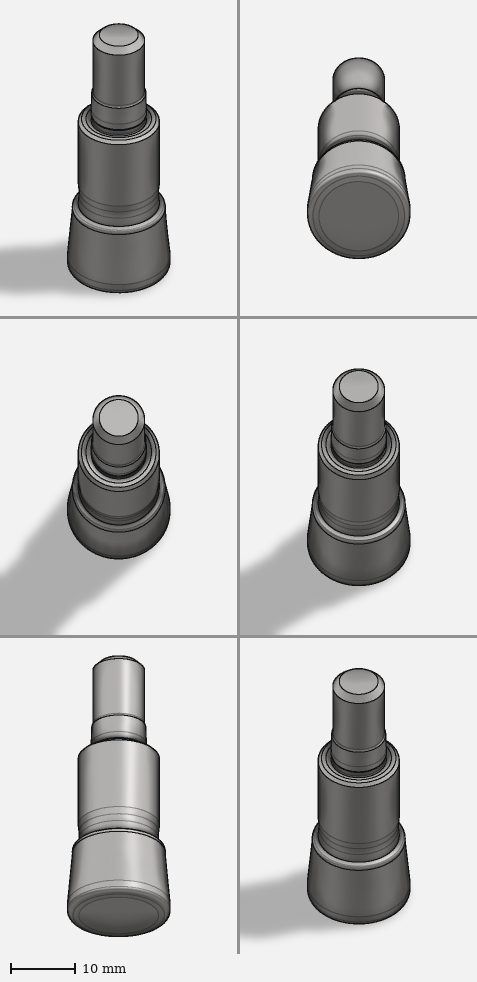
import cadquery as cq

BASE_ROUND_TOP = 0.95
BAND_TOP = 2.05
CAP_ROUND_START = 11.05
CAP_TOP = 11.95
NECK_BOTTOM = 13.45
NECK_TOP = 14.65
BODY_BOTTOM = 15.85
ROOT_FILLET_BOTTOM = 27.75
SHOULDER = 28.05
COLLAR_BOTTOM = 29.0
COLLAR_BAND_TOP = 30.05
COLLAR_TOP = 33.0
TOTAL_HEIGHT = 44.0

BASE_FLAT_RADIUS = 6.2
BASE_RADIUS = 8.0
CAP_TOP_RADIUS = 7.2
BODY_RADIUS = 6.35
NECK_RADIUS = 6.15
NECK_EDGE_RADIUS = 6.2
DISH_RADIUS = 5.1
COLLAR_RADIUS = 4.3
COLLAR_TOP_RADIUS = 4.22
GROOVE_RADIUS = 4.15
STEM_RADIUS = 4.05

BASE_ROUND = 0.9
CAP_ROUND = 0.55
CAP_ROUND_DROP = 0.25
CAP_ROUND_INSET = 0.2
BODY_CHAMFER_WIDTH = 0.55
BODY_CHAMFER_HEIGHT = 0.5
ROOT_FILLET = 0.18
GROOVE_CHAMFER = 0.3
COLLAR_FILLET = 0.5
COLLAR_FILLET_HEIGHT = 0.4
TIP_CHAMFER = 1.0

profile = (
    cq.Workplane("XZ")
    .lineTo(BASE_FLAT_RADIUS, 0)
    .lineTo(BASE_RADIUS - BASE_ROUND, BASE_ROUND_TOP - BASE_ROUND)
    .radiusArc((BASE_RADIUS, BASE_ROUND_TOP), -BASE_ROUND)
    .lineTo(BASE_RADIUS, BAND_TOP)
    .lineTo(CAP_TOP_RADIUS, CAP_ROUND_START)
    .radiusArc((CAP_TOP_RADIUS - CAP_ROUND_INSET, CAP_TOP - CAP_ROUND_DROP), -CAP_ROUND)
    .lineTo(BODY_RADIUS, CAP_TOP)
    .lineTo(NECK_EDGE_RADIUS, NECK_BOTTOM)
    .threePointArc((NECK_RADIUS, (NECK_BOTTOM + NECK_TOP) / 2), (NECK_EDGE_RADIUS, NECK_TOP))
    .lineTo(BODY_RADIUS, BODY_BOTTOM)
    .lineTo(BODY_RADIUS, SHOULDER - BODY_CHAMFER_HEIGHT)
    .lineTo(BODY_RADIUS - BODY_CHAMFER_WIDTH, SHOULDER)
    .lineTo(DISH_RADIUS, SHOULDER)
    .lineTo(GROOVE_RADIUS + ROOT_FILLET, ROOT_FILLET_BOTTOM)
    .radiusArc((GROOVE_RADIUS, ROOT_FILLET_BOTTOM + ROOT_FILLET), ROOT_FILLET)
    .lineTo(GROOVE_RADIUS, COLLAR_BOTTOM - GROOVE_CHAMFER)
    .lineTo(COLLAR_RADIUS, COLLAR_BOTTOM)
    .lineTo(COLLAR_RADIUS, COLLAR_BAND_TOP)
    .lineTo(COLLAR_TOP_RADIUS, COLLAR_TOP)
    .radiusArc((STEM_RADIUS, COLLAR_TOP + COLLAR_FILLET_HEIGHT), COLLAR_FILLET)
    .lineTo(STEM_RADIUS, TOTAL_HEIGHT - TIP_CHAMFER)
    .lineTo(STEM_RADIUS - TIP_CHAMFER, TOTAL_HEIGHT)
    .lineTo(0, TOTAL_HEIGHT)
    .close()
)
result = profile.revolve(360, (0, 0, 0), (0, 1, 0))